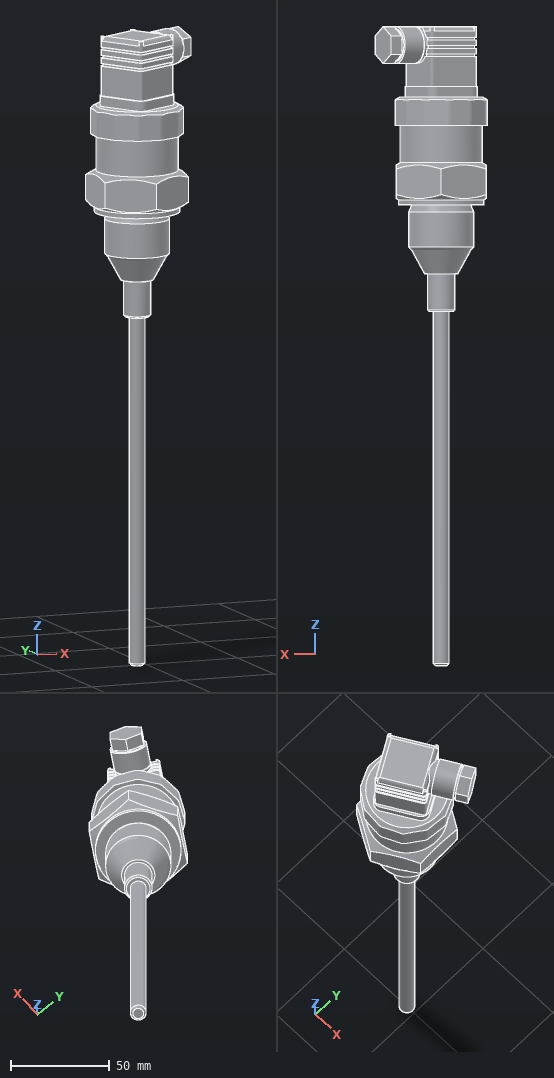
import cadquery as cq
import math

TIP_CHAMFER = 1.3
SLEEVE_BOTTOM_Z = 180.5
SLEEVE_TOP_Z = 199.5
THREAD_BOTTOM_Z = 213.3
THREAD_TOP_Z = 231.2
COLLAR_BOTTOM_Z = 234.8
HEX_BOTTOM_Z = 237.5
HEX_TOP_Z = 256.3
NUT_BOTTOM_Z = 275.2
NUT_TOP_Z = 290.0
HOUSING_BOTTOM_Z = 295.0
TOP_Z = 325.7

PROBE_DIA = 8.0
SLEEVE_DIA = 14.0
SLEEVE_CHAMFER = 1.0
CONE_END_DIA = 17.0
NECK_DIA = 30.3
THREAD_DIA = 33.2
COLLAR_DIA = 43.5
BODY_DIA = 42.0

HALF_HEX_STEP = 30

HEX_FLATS = 46.0
BEVEL_ANGLE = 30

NUT_SIDES = 12
NUT_FLATS = 46.2
NUT_RIM_DIA = 47.5
NUT_TURN = 10

PLUG_TURN = 30
BASE_WIDTH = 29.5
BASE_CORNER = 5.0
HOUSING_WIDTH = 27.0
HOUSING_CORNER = 1.5
TOP_ROUND = 2.3
TOP_ROUND_BULGE = 0.3
GROOVE_HEIGHT = 1.3
GROOVE_DEPTH = 0.5
GROOVE_PITCH = 4.2
GROOVE_COUNT = 3
FIRST_GROOVE_DROP = 6.2

GLAND_DIA = 19.0
GLAND_STEP = 0.3
GLAND_ROOT_END = 15.3
GLAND_END = 26.7
GLAND_NECK_DIA = 16.3
GLAND_NUT_START = 27.7
GLAND_NUT_END = 34.2
GLAND_NUT_FLATS = 16.3


def corner_dia(flats, sides):
    """Diameter over the corners of a regular prism with the given width over its flats."""
    return flats / math.cos(math.pi / sides)


def bevelled_cylinder(bottom_dia, outer_dia, top_dia, bottom, top):
    """Cylinder that tapers at its ends to the given diameters; it trims the corners of a prism."""
    slope = math.tan(math.radians(BEVEL_ANGLE))
    outer = outer_dia / 2
    bottom_rise = (outer_dia - bottom_dia) / 2 * slope
    top_drop = (outer_dia - top_dia) / 2 * slope
    points = [(0, bottom), (bottom_dia / 2, bottom)]
    if bottom_rise > 0:
        points.append((outer, bottom + bottom_rise))
    points += [(outer, top - top_drop), (top_dia / 2, top), (0, top)]
    return cq.Workplane("XZ").polyline(points).close().revolve(360, (0, 0), (0, 1))


def stem():
    """Probe, sleeve, cone, thread, collar and body, turned about the vertical axis."""
    probe = PROBE_DIA / 2
    sleeve = SLEEVE_DIA / 2
    neck = NECK_DIA / 2
    thread = THREAD_DIA / 2
    collar = COLLAR_DIA / 2
    body = BODY_DIA / 2
    thread_chamfer = thread - neck
    profile = [
        (0, 0),
        (probe - TIP_CHAMFER, 0),
        (probe, TIP_CHAMFER),
        (probe, SLEEVE_BOTTOM_Z),
        (sleeve - SLEEVE_CHAMFER, SLEEVE_BOTTOM_Z),
        (sleeve, SLEEVE_BOTTOM_Z + SLEEVE_CHAMFER),
        (sleeve, SLEEVE_TOP_Z),
        (CONE_END_DIA / 2, SLEEVE_TOP_Z),
        (neck, THREAD_BOTTOM_Z - thread_chamfer),
        (thread, THREAD_BOTTOM_Z),
        (thread, THREAD_TOP_Z),
        (neck, COLLAR_BOTTOM_Z),
        (collar, COLLAR_BOTTOM_Z),
        (collar, HEX_BOTTOM_Z),
        (body, HEX_BOTTOM_Z),
        (body, NUT_TOP_Z),
        (0, NUT_TOP_Z),
    ]
    return cq.Workplane("XZ").polyline(profile).close().revolve(360, (0, 0), (0, 1))


def spanner_hexagon():
    """Hexagon bevelled down to the collar below and to the body above."""
    corners = corner_dia(HEX_FLATS, 6)
    prism = (
        cq.Workplane("XY", origin=(0, 0, HEX_BOTTOM_Z))
        .polygon(6, corners)
        .extrude(HEX_TOP_Z - HEX_BOTTOM_Z)
        .rotate((0, 0, 0), (0, 0, 1), HALF_HEX_STEP)
    )
    trim = bevelled_cylinder(COLLAR_DIA, corners, BODY_DIA, HEX_BOTTOM_Z, HEX_TOP_Z)
    return prism.intersect(trim)


def union_nut():
    """Twelve-sided nut with clipped corners and a bevelled upper rim."""
    prism = (
        cq.Workplane("XY", origin=(0, 0, NUT_BOTTOM_Z))
        .polygon(NUT_SIDES, corner_dia(NUT_FLATS, NUT_SIDES))
        .extrude(NUT_TOP_Z - NUT_BOTTOM_Z)
        .rotate((0, 0, 0), (0, 0, 1), NUT_TURN)
    )
    trim = bevelled_cylinder(NUT_RIM_DIA, NUT_RIM_DIA, BODY_DIA, NUT_BOTTOM_Z, NUT_TOP_Z)
    return prism.intersect(trim)


def square_block(width, corner, bottom, top):
    """Upright square block with rounded vertical edges."""
    block = cq.Workplane("XY", origin=(0, 0, bottom)).rect(width, width).extrude(top - bottom)
    return block.edges("|Z").fillet(corner)


def top_edge_cutter():
    """Waste above the rounded top edge on the +X side, between the two corner posts."""
    edge = HOUSING_WIDTH / 2
    middle = TOP_ROUND / 2 + math.sqrt(0.5) * TOP_ROUND_BULGE
    length = HOUSING_WIDTH - 2 * HOUSING_CORNER
    return (
        cq.Workplane("XZ", origin=(0, length / 2, 0))
        .moveTo(edge, TOP_Z)
        .lineTo(edge - TOP_ROUND, TOP_Z)
        .threePointArc(
            (edge - TOP_ROUND + middle, TOP_Z - TOP_ROUND + middle),
            (edge, TOP_Z - TOP_ROUND),
        )
        .close()
        .extrude(length)
    )


def groove_ring(middle_z):
    """Ring of waste for one groove around the housing."""
    bottom = middle_z - GROOVE_HEIGHT / 2
    top = middle_z + GROOVE_HEIGHT / 2
    outside = square_block(HOUSING_WIDTH + 2 * GROOVE_DEPTH, HOUSING_CORNER, bottom, top)
    core = square_block(HOUSING_WIDTH - 2 * GROOVE_DEPTH, HOUSING_CORNER, bottom, top)
    return outside.cut(core)


def housing():
    """Plug housing with four rounded top edges and the grooves around its sides."""
    block = square_block(HOUSING_WIDTH, HOUSING_CORNER, HOUSING_BOTTOM_Z, TOP_Z)
    for side in range(4):
        block = block.cut(top_edge_cutter().rotate((0, 0, 0), (0, 0, 1), 90 * side))
    for index in range(GROOVE_COUNT):
        block = block.cut(groove_ring(TOP_Z - FIRST_GROOVE_DROP - GROOVE_PITCH * index))
    return block


def cable_gland():
    """Gland along +X: a slim root, a barrel level with the housing top, a neck and a hexagon nut."""
    axis_z = TOP_Z - GLAND_DIA / 2
    start = HOUSING_WIDTH / 4
    face = cq.Workplane("YZ", origin=(start, 0, axis_z))
    root = face.circle(GLAND_DIA / 2 - GLAND_STEP).extrude(GLAND_ROOT_END - start)
    barrel = (
        face.workplane(offset=GLAND_ROOT_END - start)
        .circle(GLAND_DIA / 2)
        .extrude(GLAND_END - GLAND_ROOT_END)
    )
    neck = face.circle(GLAND_NECK_DIA / 2).extrude(GLAND_NUT_START - start)
    nut = (
        cq.Workplane("YZ", origin=(GLAND_NUT_START, 0, axis_z))
        .transformed(rotate=(0, 0, HALF_HEX_STEP))
        .polygon(6, corner_dia(GLAND_NUT_FLATS, 6))
        .extrude(GLAND_NUT_END - GLAND_NUT_START)
    )
    return root.union(barrel).union(neck).union(nut)


def plug():
    """Base, housing and gland, turned together into place."""
    base = square_block(BASE_WIDTH, BASE_CORNER, NUT_TOP_Z, HOUSING_BOTTOM_Z)
    whole = base.union(housing()).union(cable_gland())
    return whole.rotate((0, 0, 0), (0, 0, 1), PLUG_TURN)


result = stem().union(spanner_hexagon()).union(union_nut()).union(plug())